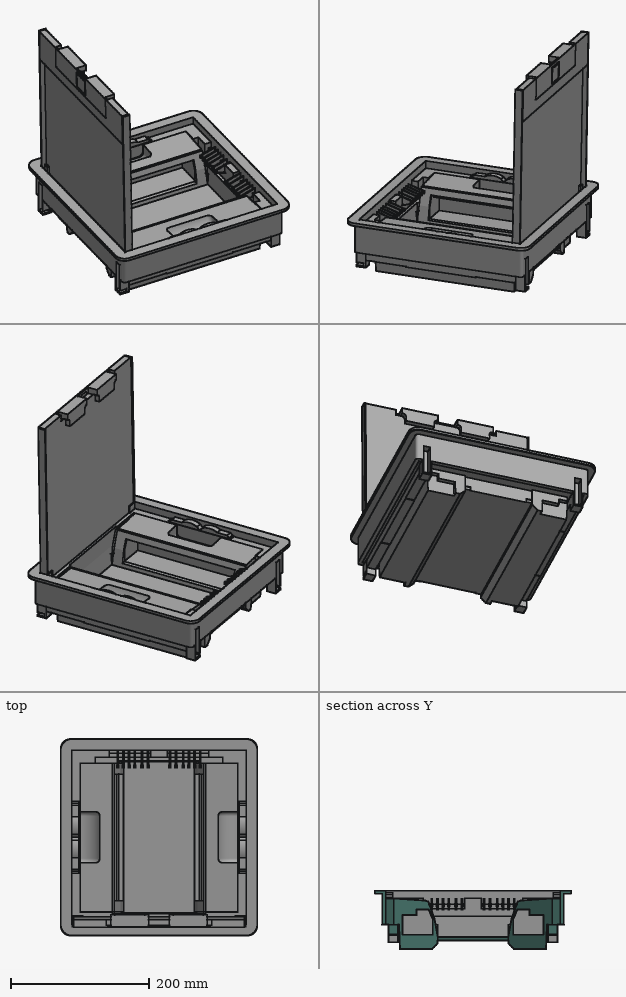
import cadquery as cq
import math


SIDES = (-1, 1)

overall_height = 323.8
flange_side = 285.0
flange_top = 84.8
flange_bottom = 80.0
flange_radius = 15.0
flange_chamfer = 0.5
wall_side = 264.2
wall_bottom = 35.3
wall_radius = 5.0
opening_side = 252.2
ledge_top = 73.5

foot_bottom = 9.7
foot_outer = 122.7
foot_inner = 108.5
foot_depth = 14.5
foot_slot_width = 9.7
foot_slot_depth = 11.0
foot_slot_bottom = 12.3
foot_slot_top = 60.2
foot_notch_height = 4.0
foot_post_top = 64.8
skirt_bottom = 21.0
skirt_outer = 122.0
skirt_rib_length = 109.5
skirt_rib_height = 1.0

tray_outer = 114.3
tray_inner = 67.5
tray_inner_top = 70.3
tray_half_length = 107.5
tray_lip_width = 2.5
tray_lip_drop = 1.0
tray_break_x = 55.7
tray_break_z = 44.0
tray_lower_outer = 107.2
tray_bottom_outer = 106.0
tray_lower_half_length = 110.0
tray_bottom_half_length = 108.0
tray_bottom_chamfer = 8.0
window_length = 183.3
window_bottom = 24.3
window_top = 60.2
cavity_inner = 58.5
cavity_step_x = 81.5
cavity_outer = 102.0
cavity_top_inner = 64.0
cavity_bottom = 21.0
cavity_top = 57.0
cavity_outer_top = 49.2
cavity_half_length = 95.2

plate_end = 115.5
plate_low_outer = 66.0
plate_low_draft = 1.0
plate_mid_outer = 92.3
plate_mid_z = 20.0
plate_high_outer = 105.0
plate_high_z = 28.5

finger_length = 74.5
finger_radius = 31.5
finger_axis_z = 84.8
finger_fillet = 6.5
finger_outer = 116.0

channel_half_floor = 50.8
channel_floor = 17.8
channel_half_length = 110.7
channel_floor_half_length = 109.0
tray_gap = 1.3
tray_gap_depth = 2.5
tub_bottom = 12.3
tub_half_width = 51.0
tub_half_length = 112.7
pad_width = 8.5
pad_height = 5.8
pad_depth = 1.0
comb_notch_half_width = 92.0
comb_notch_back = 116.0
comb_notch_floor = 47.3
comb_pocket_inner = 12.3
comb_pocket_outer = 72.2
comb_pocket_floor = 58.3
comb_shelf_front = 121.5
comb_shelf_top = 64.8
fin_positions = (16.0, 24.5, 35.3, 43.5, 51.5, 59.5)
fin_thickness = 1.5
fin_tip_y = 101.0
fin_bottom = 53.7
fin_top = 73.0
fin_tip_bottom = 62.2
fin_tip_top = 65.5
fin_knob_width = 3.0
fin_knob_length = 3.2
clip_half_length = 52.0
clip_inner = 116.5
clip_step_end = 49.5
clip_step_top = 74.8
clip_bar_end = 46.3
clip_top = 78.5
bump_start = 4.2
bump_end = 29.8
bump_top = 81.5

lid_tilt = 1.0
lid_front_at_ledge = -125.5
lid_thickness = 12.0
panel_thickness = 10.7
hinge_inner = 110.7
hinge_top = 84.2
hinge_tab_width = 7.8
hinge_tab_top = 85.8
hinge_tab_depth = 3.2
lid_half_width = 126.0
panel_half_width = 123.7
panel_top = 274.0
panel_recess = 8.0
rim_setback = 0.5
latch_half_width = 74.5
latch_bottom = 290.5
latch_plate = 2.3
latch_pocket_half_width = 76.7
grip_inner = 15.0
grip_outer = 69.5
grip_height = 9.7
grip_depth = 17.5
stem_bottom = 301.0
stem_fillet = 5.8
label_side = 25.3
label_bottom = 292.7
label_recess = 1.0


def block(x0, x1, y0, y1, z0, z1):
    """Box between two opposite corners."""
    return cq.Workplane("XY").box(x1 - x0, y1 - y0, z1 - z0, centered=False).translate((x0, y0, z0))


def centred_block(width, length, z0, z1):
    """Box centred on the Z axis."""
    return block(-width / 2, width / 2, -length / 2, length / 2, z0, z1)


def profile_along_y(points, half_length):
    """Outline of (x, z) points extruded equally to both sides of Y = 0."""
    return cq.Workplane("XZ").polyline(points).close().extrude(half_length, both=True)


def profile_along_x(points, x0, x1):
    """Outline of (y, z) points extruded from x0 to x1."""
    return cq.Workplane("YZ").polyline(points).close().extrude(x1 - x0).translate((x0, 0, 0))



def make_foot():
    """Foot of the +X, -Y corner, a post rising inside the wall, before its slot is cut."""
    front = -wall_side / 2
    return block(foot_inner, foot_outer, front, front + foot_depth, foot_bottom, foot_post_top)


def make_feet():
    """The four foot posts, before their slots are cut."""
    foot = make_foot()
    pair = foot.union(foot.mirror("XZ"))
    return pair.union(pair.mirror("YZ"))


def make_foot_slot():
    """Slot of the +X, -Y foot, running up into the wall, with a side notch at its lower end."""
    middle = (foot_inner + foot_outer) / 2
    front = -wall_side / 2
    slot = block(
        middle - foot_slot_width / 2, middle + foot_slot_width / 2,
        front, front + foot_slot_depth, foot_slot_bottom, foot_slot_top,
    )
    notch = block(
        middle, foot_outer, front, front + foot_slot_depth,
        foot_slot_bottom, foot_slot_bottom + foot_notch_height,
    )
    return slot, notch


def make_housing():
    flange = centred_block(flange_side, flange_side, flange_bottom, flange_top)
    flange = flange.edges("|Z").fillet(flange_radius).faces("<Z").edges().chamfer(flange_chamfer)
    walls = centred_block(wall_side, wall_side, wall_bottom, flange_bottom).edges("|Z").fillet(wall_radius)
    housing = flange.union(walls)
    housing = housing.cut(centred_block(opening_side, opening_side, wall_bottom, flange_top))

    skirt_half_length = wall_side / 2 - foot_depth
    skirt = block(foot_inner, skirt_outer, -skirt_half_length, skirt_half_length, skirt_bottom, wall_bottom)
    rib = block(
        foot_inner, skirt_outer, -skirt_rib_length / 2, skirt_rib_length / 2,
        skirt_bottom - skirt_rib_height, skirt_bottom,
    )
    skirt = skirt.union(rib)
    housing = housing.union(make_feet()).union(skirt).union(skirt.mirror("YZ"))

    slot, notch = make_foot_slot()
    left_notch = notch.translate((-foot_inner - foot_outer, 0, 0))
    front_cut = slot.union(slot.mirror("YZ")).union(notch).union(left_notch)
    return housing.cut(front_cut).cut(front_cut.rotate((0, 0, 0), (0, 0, 1), 180))



def make_tray_body():
    """Tray of the +X side: its cross-section narrowed to the outline seen along X."""
    section = profile_along_y(
        [
            (tray_outer, ledge_top),
            (tray_inner, tray_inner_top),
            (tray_inner, tray_inner_top - tray_lip_drop),
            (tray_inner - tray_lip_width, tray_inner_top - tray_lip_drop),
            (tray_break_x, tray_break_z),
            (channel_half_floor, channel_floor),
            (tub_half_width, channel_floor),
            (tub_half_width, tray_bottom_chamfer),
            (tub_half_width + tray_bottom_chamfer, 0),
            (tray_bottom_outer, 0),
            (tray_lower_outer, wall_bottom),
            (tray_outer, wall_bottom),
        ],
        tray_lower_half_length,
    )
    side_shape = profile_along_x(
        [
            (-tray_bottom_half_length, 0),
            (tray_bottom_half_length, 0),
            (tray_lower_half_length, wall_bottom),
            (tray_half_length, wall_bottom),
            (tray_half_length, ledge_top),
            (-tray_half_length, ledge_top),
            (-tray_half_length, wall_bottom),
            (-tray_lower_half_length, wall_bottom),
        ],
        0, tray_outer,
    )
    return section.intersect(side_shape)


def make_tray_plates():
    """Stepped end plates below the cradle, at both ends of the +X tray."""
    outline = [
        (tub_half_width, wall_bottom),
        (tub_half_width, tray_bottom_chamfer),
        (tub_half_width + tray_bottom_chamfer, 0),
        (plate_low_outer, 0),
        (plate_low_outer + plate_low_draft, plate_mid_z),
        (plate_mid_outer, plate_mid_z),
        (plate_mid_outer, plate_high_z),
        (plate_high_outer, plate_high_z),
        (plate_high_outer, wall_bottom),
    ]
    return profile_along_y(outline, plate_end).cut(
        centred_block(flange_side, 2 * tray_bottom_half_length, 0, wall_bottom)
    )


def make_solid_tray():
    """Tray with its end plates, before the window, cavity and finger recess are cut."""
    return make_tray_body().union(make_tray_plates())


def make_finger_recess():
    """Cylinder along Y with rounded ends, its axis above the outer tray edge, cut flat in the ledge."""
    recess = cq.Workplane("XZ").circle(finger_radius).extrude(finger_length / 2, both=True)
    recess = recess.faces("|Y").edges().fillet(finger_fillet).translate((tray_outer, 0, finger_axis_z))
    return recess.intersect(block(0, finger_outer, -finger_length, finger_length, 0, ledge_top))


def make_tray():
    """Finished tray of the +X side."""
    tray = make_solid_tray()
    window = block(0, cavity_step_x, -window_length / 2, window_length / 2, window_bottom, window_top)
    cavity = profile_along_y(
        [
            (cavity_inner, cavity_bottom),
            (cavity_inner, tray_break_z),
            (cavity_top_inner, cavity_top),
            (cavity_step_x, cavity_top),
            (cavity_step_x, cavity_outer_top),
            (cavity_outer, cavity_outer_top),
            (cavity_outer, cavity_bottom),
        ],
        cavity_half_length,
    )
    return tray.cut(window).cut(cavity).cut(make_finger_recess())



def make_channel():
    """Open space of the channel between the trays, with drafted end walls."""
    section = profile_along_y(
        [
            (-tray_inner, ledge_top),
            (-tray_inner, tray_inner_top - tray_lip_drop),
            (-tray_inner + tray_lip_width, tray_inner_top - tray_lip_drop),
            (-tray_break_x, tray_break_z),
            (-channel_half_floor, channel_floor),
            (channel_half_floor, channel_floor),
            (tray_break_x, tray_break_z),
            (tray_inner - tray_lip_width, tray_inner_top - tray_lip_drop),
            (tray_inner, tray_inner_top - tray_lip_drop),
            (tray_inner, ledge_top),
        ],
        channel_half_length,
    )
    side_shape = profile_along_x(
        [
            (-channel_floor_half_length, channel_floor),
            (channel_floor_half_length, channel_floor),
            (channel_half_length, comb_notch_floor),
            (channel_half_length, ledge_top),
            (-channel_half_length, ledge_top),
            (-channel_half_length, comb_notch_floor),
        ],
        -tray_inner, tray_inner,
    )
    return section.intersect(side_shape)


def make_comb_fin(x):
    """Thin triangular fin with a knob on its tip."""
    back = opening_side / 2
    outline = [
        (back, fin_bottom),
        (fin_tip_y, fin_tip_bottom),
        (fin_tip_y, fin_tip_top),
        (back, fin_top),
    ]
    fin = profile_along_x(outline, x - fin_thickness / 2, x + fin_thickness / 2)
    knob = block(
        x - fin_knob_width / 2, x + fin_knob_width / 2,
        fin_tip_y, fin_tip_y + fin_knob_length, fin_tip_bottom, fin_tip_top,
    )
    return fin.union(knob)


def make_side_clip():
    """Clip bar on the +X ledge, with two rounded bumps."""
    outline = (
        cq.Workplane("YZ")
        .moveTo(-clip_half_length, clip_step_top)
        .lineTo(-clip_step_end, clip_step_top)
        .lineTo(-clip_bar_end, clip_top)
        .lineTo(-bump_end, clip_top)
        .threePointArc((-(bump_start + bump_end) / 2, bump_top), (-bump_start, clip_top))
        .lineTo(0, ledge_top)
        .lineTo(bump_start, clip_top)
        .threePointArc(((bump_start + bump_end) / 2, bump_top), (bump_end, clip_top))
        .lineTo(clip_bar_end, clip_top)
        .lineTo(clip_step_end, clip_step_top)
        .lineTo(clip_half_length, clip_step_top)
        .lineTo(clip_half_length, wall_bottom)
        .lineTo(-clip_half_length, wall_bottom)
        .close()
    )
    return outline.extrude(opening_side / 2 - clip_inner).translate((clip_inner, 0, 0))


def make_cradle():
    cradle = centred_block(opening_side, opening_side, wall_bottom, ledge_top)
    cradle = cradle.union(centred_block(2 * tub_half_width, 2 * tub_half_length, tub_bottom, wall_bottom))
    cradle = cradle.cut(make_channel())
    back = opening_side / 2
    cradle = cradle.cut(
        block(
            -tray_outer, tray_outer,
            -tray_half_length - tray_gap, -tray_half_length, ledge_top - tray_gap_depth, ledge_top,
        )
    )
    cradle = cradle.cut(
        block(
            -comb_notch_half_width, comb_notch_half_width,
            tray_half_length, comb_notch_back, comb_notch_floor, ledge_top,
        )
    )
    for side in SIDES:
        pocket_x = sorted((side * comb_pocket_inner, side * comb_pocket_outer))
        cradle = cradle.cut(block(*pocket_x, comb_notch_back, comb_shelf_front, comb_pocket_floor, ledge_top))
        cradle = cradle.cut(block(*pocket_x, comb_shelf_front, back, comb_shelf_top, ledge_top))
        for distance in fin_positions:
            cradle = cradle.union(make_comb_fin(side * distance))

    pad = block(
        tub_half_width - pad_width, tub_half_width,
        -tub_half_length - pad_depth, -tub_half_length, tub_bottom, tub_bottom + pad_height,
    )
    for attachment in (pad, pad.mirror("XZ"), make_side_clip()):
        cradle = cradle.union(attachment).union(attachment.mirror("YZ"))
    tray = make_solid_tray()
    above_tray = block(
        tray_inner - tray_lip_width, tray_outer, -tray_half_length, tray_half_length,
        tray_inner_top - tray_lip_drop, ledge_top,
    )
    tray_space = tray.union(above_tray).union(make_finger_recess())
    return cradle.cut(tray_space).cut(tray_space.mirror("YZ")).cut(make_feet())



trim_allowance = 3.2
build_height = overall_height + trim_allowance


def tilt(body):
    """Lean an upright body outwards and trim it to the ledge and the overall height."""
    pivot = (0, lid_front_at_ledge, ledge_top)
    leaning = body.rotate(pivot, (1, lid_front_at_ledge, ledge_top), lid_tilt)
    return leaning.intersect(centred_block(flange_side, flange_side, ledge_top, overall_height))


def make_lid():
    front = lid_front_at_ledge
    rear = front + panel_thickness
    base = ledge_top - trim_allowance
    lid = block(-panel_half_width, panel_half_width, front, rear, base, build_height)
    lid = lid.cut(block(-panel_half_width, panel_half_width, front, front + panel_recess, base, panel_top))
    latch_plate_back = front + latch_plate
    lid = lid.cut(
        block(-latch_half_width, latch_half_width, front, latch_plate_back, latch_bottom, build_height)
    )
    lid = lid.cut(
        block(
            -latch_pocket_half_width, latch_pocket_half_width,
            latch_plate_back, rear, overall_height - grip_height, build_height,
        )
    )
    lid = tilt(lid)
    for side in SIDES:
        rim_x = sorted((side * panel_half_width, side * lid_half_width))
        rim = block(*rim_x, front + rim_setback, front + lid_thickness, base, build_height)
        rim_limit = centred_block(flange_side, flange_side, ledge_top, overall_height - rim_setback)
        lid = lid.union(tilt(rim).intersect(rim_limit))
        hinge_x = sorted((side * hinge_inner, side * lid_half_width))
        hinge = block(*hinge_x, front + panel_recess, front + lid_thickness, base, hinge_top)
        tab_x = sorted((side * (panel_half_width - hinge_tab_width), side * panel_half_width))
        tab_back = front + panel_recess
        tab = block(*tab_x, tab_back - hinge_tab_depth, tab_back, base, hinge_tab_top)
        lid = lid.union(tilt(hinge.union(tab)))
    return lid


def make_grip():
    """Grip of the +X side, on a narrower stem behind the lid with concave fillets between them."""
    grip_bottom = overall_height - grip_height
    middle = (grip_inner + grip_outer) / 2
    plate_back = lid_front_at_ledge + latch_plate
    rear = lid_front_at_ledge + grip_depth
    grip = block(grip_inner, grip_outer, plate_back, rear, grip_bottom, build_height)
    stem_half = (grip_outer - grip_inner) / 2 - stem_fillet
    fillet_offset = stem_fillet * (1 - math.sqrt(0.5))
    stem = (
        cq.Workplane("XZ", origin=(middle, rear, 0))
        .moveTo(-stem_half, stem_bottom)
        .lineTo(stem_half, stem_bottom)
        .lineTo(stem_half, grip_bottom - stem_fillet)
        .threePointArc(
            (stem_half + fillet_offset, grip_bottom - fillet_offset),
            (stem_half + stem_fillet, grip_bottom),
        )
        .lineTo(-stem_half - stem_fillet, grip_bottom)
        .threePointArc(
            (-stem_half - fillet_offset, grip_bottom - fillet_offset),
            (-stem_half, grip_bottom - stem_fillet),
        )
        .close()
        .extrude(grip_depth - panel_thickness)
    )
    return grip.union(stem)


def make_latch():
    front = lid_front_at_ledge
    plate_back = front + latch_plate
    latch = block(-latch_half_width, latch_half_width, front, plate_back, latch_bottom, build_height)
    label_half = label_side / 2
    latch = latch.cut(
        block(
            -label_half, label_half, front, front + label_recess, label_bottom, label_bottom + label_side,
        )
    )
    grip = make_grip()
    latch = latch.union(grip).union(grip.mirror("YZ"))
    return tilt(latch)


housing = make_housing()
cradle = make_cradle()
right_tray = make_tray()
trays = [right_tray, right_tray.mirror("YZ")]
lid = make_lid()
latch = make_latch()

result = cq.Compound.makeCompound(
    [housing.val(), cradle.val(), *[tray.val() for tray in trays], lid.val(), latch.val()]
)